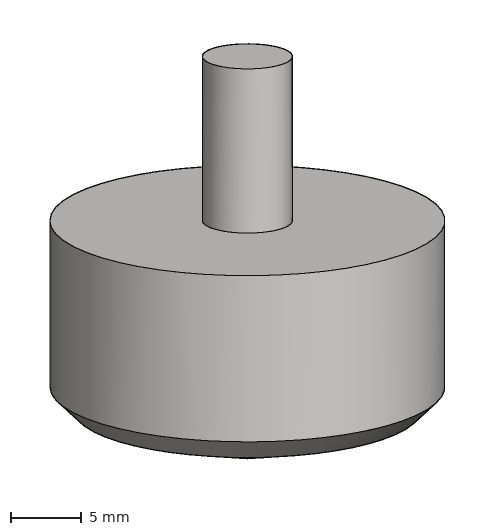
import cadquery as cq

total_height = 29.7
body_diameter = 28.0
stem_diameter = 6.4
stem_height = 12.12
chamfer_size = 1.63
tip_height = 3.68

body_radius = body_diameter / 2
stem_radius = stem_diameter / 2
tip_radius = body_radius - chamfer_size
chamfer_top = tip_height + chamfer_size
body_top = total_height - stem_height

half_section = (
    cq.Workplane("XZ")
    .moveTo(0, 0)
    .lineTo(tip_radius, tip_height)
    .lineTo(body_radius, chamfer_top)
    .lineTo(body_radius, body_top)
    .lineTo(stem_radius, body_top)
    .lineTo(stem_radius, total_height)
    .lineTo(0, total_height)
    .close()
)

result = half_section.revolve(360, (0, 0, 0), (0, 1, 0))